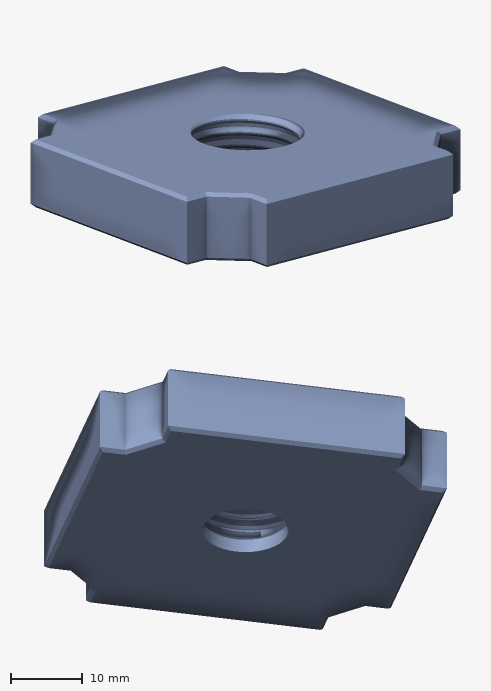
import cadquery as cq

plate_size = 49.8
plate_height = 10.0
arm_width = 34.0
notch_step = 3.6
edge_chamfer = 0.5

through_diameter = 12.0
bore_diameter = 15.2
floor_thickness = 2.0

thread_major_diameter = 16.57
thread_pitch = 1.87
land_width = 0.22
root_width = 0.55
start_angle = 240.0
start_height = 3.3
thread_turns = 4.5
groove_overlap = 0.05

half_size = plate_size / 2
half_arm = arm_width / 2
bore_radius = bore_diameter / 2
major_radius = thread_major_diameter / 2


def make_plate():
    notch_end = half_size - notch_step
    corner = [
        (half_size, half_arm),
        (notch_end, half_arm),
        (half_arm, notch_end),
        (half_arm, half_size),
    ]
    outline = list(corner)
    for _ in range(3):
        corner = [(-y, x) for x, y in corner]
        outline += corner
    plate = cq.Workplane("XY").polyline(outline).close().extrude(plate_height)
    return plate.faces("<Z or >Z").edges().chamfer(edge_chamfer)


def cut_stepped_bore(body):
    through_hole = cq.Workplane("XY").circle(through_diameter / 2).extrude(plate_height)
    bore_depth = plate_height - floor_thickness
    bore = cq.Workplane("XY", origin=(0, 0, floor_thickness)).circle(bore_radius).extrude(bore_depth)
    return body.cut(through_hole).cut(bore)


def make_thread_groove():
    half_root = root_width / 2
    half_mouth = (thread_pitch - land_width) / 2
    flank_slope = (half_mouth - half_root) / (major_radius - bore_radius)
    inner_radius = bore_radius - groove_overlap
    half_inner = half_mouth + groove_overlap * flank_slope
    helix = cq.Wire.makeHelix(thread_pitch, thread_turns * thread_pitch, bore_radius)
    groove = (
        cq.Workplane("XZ")
        .moveTo(inner_radius, -half_inner)
        .lineTo(major_radius, -half_root)
        .lineTo(major_radius, half_root)
        .lineTo(inner_radius, half_inner)
        .close()
        .sweep(cq.Workplane(helix), isFrenet=True)
    )
    return groove.rotate((0, 0, 0), (0, 0, 1), start_angle).translate((0, 0, start_height))


result = cut_stepped_bore(make_plate()).cut(make_thread_groove())